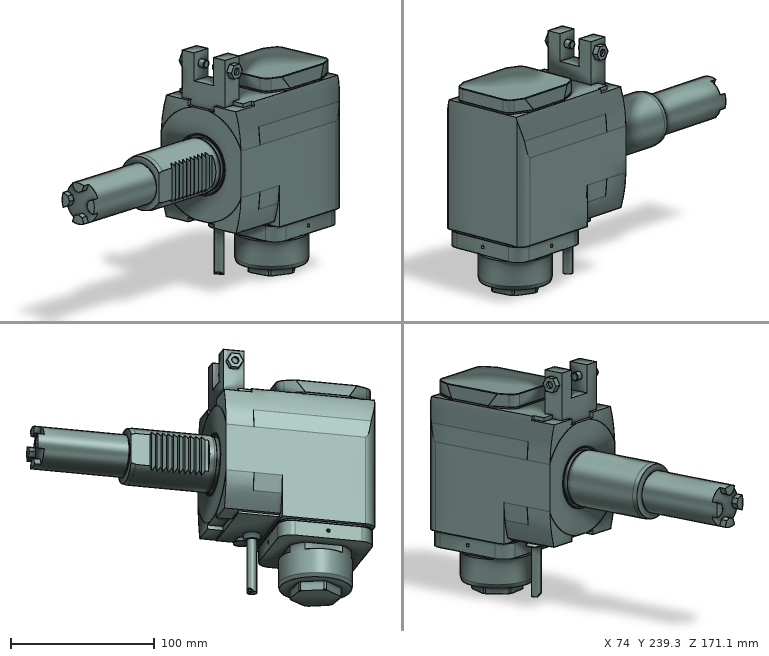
import cadquery as cq
import math


total_length = 239.28
total_height = 171.05

half_width = 37.02
back_y = 109.28
head_front_y = 40.9
tool_axis_y = (head_front_y + back_y) / 2
platform_top = 44.6
pad_top = 47.4
bracket_top = 79.0
front_bottom = -43.8
pad_bottom = -45.3
head_bottom = -47.3
pad_front_y = 11.3
pad_half_width = 29.3
side_zone_y = 20.3
side_flat_z = 17.0
side_mid_z = 30.0
side_radius = 92.0
side_center_z = 15.0
back_corner_radius = 9.2
back_corner_depth = 8.2
disc_radius = 41.2
disc_step = 0.2
key_half_width = 12.0
key_depth = 4.0
lower_key_depth = 3.0

shank_diameter = 40.0
shank_neck_diameter = 38.7
shank_neck_length = 1.7
shank_end_y = -63.0
shank_rear_chamfer_length = 1.7
shank_rear_chamfer_height = 0.3
shank_chamfer_length = 3.4
shank_chamfer_height = 0.6
seal_groove_diameter = 42.4
seal_groove_depth = 1.5
seal_rim_diameter = 44.4
seal_rim_depth = 0.5
rack_flat_x = 16.35
rack_start_y = -7.0
tooth_pitch = 4.0
tooth_depth = 2.3
tooth_count = 10
first_tooth_y = -11.45

spindle_diameter = 30.0
spindle_neck_diameter = 27.3
spindle_neck_length = 1.0
spindle_face_y = -125.2
spindle_end_y = back_y - total_length
claw_outline = [(15.0, 5.8), (13.9, 5.4), (9.6, 3.6), (8.0, 0.0), (9.6, -3.6), (13.9, -5.4), (15.0, -5.8)]
claw_count = 4

seam = 1.3
seam_inset = 0.6
cover_size = back_y - head_front_y
cap_top = 58.1
cap_half_width = 31.4
cap_top_half_width = 28.7
cap_front_half_width = 23.7
cap_side_half_length = 16.0
cap_corner_radius = 7.0
cap_edge_chamfer = 0.4
flange_bottom = -59.6
flange_corner_radius = 10.0
dowel_hole_diameter = 2.3
dowel_hole_depth = 3.0
dowel_hole_z = -53.9

chuck_diameter = 52.0
chuck_flats = 44.4
chuck_flats_length = 5.0
chuck_bottom = -85.4
chuck_chamfer_length = 2.8
chuck_chamfer_height = 0.8
nut_diameter = 36.0
nut_flats = 32.0
nut_angle = 7.0
nut_bottom = bracket_top - total_height
nut_chamfer = 0.5

bracket_front_y = 2.9
bracket_thickness = 15.0
bracket_half_width = 19.9
bracket_gap_half_width = 9.0
bracket_gap_bottom = 58.7
screw_z = 70.1
screw_diameter = 6.0
screw_head_flats = 10.0
screw_head_height = 4.4
screw_recess_diameter = 5.0
screw_recess_depth = 2.0
screw_tip_x = 3.9
screw_tip_chamfer = 0.5

tube_diameter = 7.0
tube_x = -11.2
tube_y = 32.1
tube_bottom = -88.4
tube_tip_cut = 2.5
outlet_diameter = 2.3
outlet_depth = 4.0
outlet_heading = 30.0
ball_diameter = 12.73
ball_bottom = -49.2
clamp_x = -20.2
clamp_y = 27.2
clamp_diameter = 11.57
clamp_top_diameter = 6.0
clamp_rim_height = 0.4


def box(x0, x1, y0, y1, z0, z1):
    return cq.Workplane("XY").box(x1 - x0, y1 - y0, z1 - z0, centered=False).translate((x0, y0, z0))


def cylinder_y(diameter, y0, y1):
    """Cylinder on the drive axis from y0 forward to y1, with y1 < y0."""
    return cq.Workplane("XZ", origin=(0, y0, 0)).circle(diameter / 2).extrude(y0 - y1)


def cylinder_z(diameter, x, y, z0, z1):
    return cq.Workplane("XY", origin=(x, y, z0)).circle(diameter / 2).extrude(z1 - z0)


def side_x(z):
    """Half width of the rounded upper side, or of its mirror image below, at height z."""
    center_x = half_width - math.sqrt(side_radius**2 - (side_flat_z - side_center_z) ** 2)
    return center_x + math.sqrt(side_radius**2 - (abs(z) - side_center_z) ** 2)


def side_arc(outline, z_from, z_to, side):
    """Add the rounded side from z_from to z_to; side is +1 for +X and -1 for -X."""
    z_half = (z_from + z_to) / 2
    return outline.threePointArc((side * side_x(z_half), z_half), (side * side_x(z_to), z_to))


def side_to_flat(outline, top, side, faceted):
    """Add the side from the far edge at height top back to the flat, with or without the flat facet."""
    if faceted:
        outline = side_arc(outline, top, math.copysign(side_mid_z, top), side)
        return outline.lineTo(side * half_width, math.copysign(side_flat_z, top))
    return side_arc(outline, top, math.copysign(side_flat_z, top), side)


def side_from_flat(outline, top, side, faceted):
    """Add the side from the flat to the far edge at height top, with or without the flat facet."""
    start = side_flat_z
    if faceted:
        start = side_mid_z
        outline = outline.lineTo(side * side_x(start), math.copysign(start, top))
    return side_arc(outline, math.copysign(start, top), top, side)


def front_section(y_front, y_back, top, faceted):
    """Slice of the front section, rounded at the upper and the lower sides."""
    outline = cq.Workplane("XZ", origin=(0, y_back, 0)).moveTo(half_width, side_flat_z)
    outline = side_from_flat(outline, top, 1, faceted).lineTo(-side_x(top), top)
    outline = side_to_flat(outline, top, -1, faceted).lineTo(-half_width, -side_flat_z)
    outline = side_from_flat(outline, front_bottom, -1, faceted).lineTo(side_x(front_bottom), front_bottom)
    outline = side_to_flat(outline, front_bottom, 1, faceted)
    return outline.close().extrude(y_back - y_front)


def head():
    """Deep rear block: the rounded upper sides, straight lower sides and rounded back corners."""
    outline = cq.Workplane("XZ", origin=(0, back_y, 0)).moveTo(half_width, side_flat_z)
    outline = side_from_flat(outline, pad_top, 1, True).lineTo(-side_x(pad_top), pad_top)
    outline = side_to_flat(outline, pad_top, -1, True)
    outline = outline.lineTo(-half_width, head_bottom).lineTo(half_width, head_bottom)
    block = outline.close().extrude(back_y - head_front_y)

    def corner_x(depth):
        return half_width - back_corner_radius + math.sqrt(back_corner_radius**2 - depth**2)

    start_y = back_y - back_corner_depth
    mid_y = back_y - back_corner_depth / 2
    mid_x = corner_x(back_corner_depth / 2)
    end_x = corner_x(back_corner_depth)
    plan = (
        cq.Workplane("XY", origin=(0, 0, head_bottom))
        .moveTo(-half_width, head_front_y)
        .lineTo(half_width, head_front_y)
        .lineTo(half_width, start_y)
        .threePointArc((mid_x, mid_y), (end_x, back_y))
        .lineTo(-end_x, back_y)
        .threePointArc((-mid_x, mid_y), (-half_width, start_y))
        .close()
        .extrude(pad_top - head_bottom)
    )
    return block.intersect(plan)


def shank():
    """Round shank with a flat and a toothed rack on its +X side."""
    radius = shank_diameter / 2
    neck_radius = shank_neck_diameter / 2
    body = (
        cq.Workplane("XY")
        .moveTo(0, seal_groove_depth)
        .lineTo(neck_radius, seal_groove_depth)
        .lineTo(neck_radius, -shank_neck_length)
        .lineTo(radius - shank_rear_chamfer_height, -shank_neck_length)
        .lineTo(radius, -shank_neck_length - shank_rear_chamfer_length)
        .lineTo(radius, shank_end_y + shank_chamfer_length)
        .lineTo(radius - shank_chamfer_height, shank_end_y)
        .lineTo(0, shank_end_y)
        .close()
        .revolve(360, (0, 0, 0), (0, 1, 0))
    )
    rack = box(rack_flat_x, radius, shank_end_y, rack_start_y, -radius, radius)
    body = body.cut(rack)
    for index in range(tooth_count):
        y = first_tooth_y - index * tooth_pitch
        groove = (
            cq.Workplane("XY", origin=(0, 0, -radius))
            .moveTo(rack_flat_x, y + tooth_pitch / 2)
            .lineTo(rack_flat_x - tooth_depth, y)
            .lineTo(rack_flat_x, y - tooth_pitch / 2)
            .close()
            .extrude(shank_diameter)
        )
        body = body.cut(groove)
    return body


def make_housing():
    """Housing of the angular head with the shank in one piece."""
    body = front_section(0, side_zone_y, platform_top, faceted=False)
    body = body.union(front_section(side_zone_y, head_front_y, pad_top, faceted=True))
    body = body.union(head())
    body = body.union(
        box(-pad_half_width, pad_half_width, pad_front_y, side_zone_y, platform_top, pad_top)
    )
    body = body.union(
        box(-pad_half_width, pad_half_width, pad_front_y, head_front_y, pad_bottom, front_bottom)
    )
    corner_zone = box(-half_width, half_width, 0, disc_step, front_bottom, platform_top)
    body = body.cut(corner_zone.cut(cylinder_y(2 * disc_radius, disc_step, 0)))
    bracket_back_y = bracket_front_y + bracket_thickness
    body = body.cut(
        box(-key_half_width, key_half_width, 0, bracket_back_y, platform_top - key_depth, pad_top)
    )
    body = body.cut(
        box(-key_half_width, key_half_width, 0, pad_front_y, pad_bottom, front_bottom + lower_key_depth)
    )
    body = body.cut(
        box(-bracket_half_width, bracket_half_width, 0, bracket_back_y, platform_top, pad_top)
    )
    body = body.cut(cylinder_y(seal_groove_diameter, seal_groove_depth, 0))
    body = body.cut(cylinder_y(seal_rim_diameter, seal_rim_depth, 0))
    return body.union(shank())


def make_spindle():
    """Drive spindle ahead of the shank, with coupling claws on its end."""
    neck_end_y = shank_end_y - spindle_neck_length
    body = cylinder_y(spindle_neck_diameter, shank_end_y, neck_end_y)
    body = body.union(cylinder_y(spindle_diameter, neck_end_y, spindle_end_y))
    clearance = cylinder_y(2 * spindle_diameter, spindle_face_y, spindle_end_y)
    claw = (
        cq.Workplane("XZ", origin=(0, spindle_face_y, 0))
        .polyline(claw_outline)
        .close()
        .extrude(spindle_face_y - spindle_end_y)
    )
    for index in range(claw_count):
        clearance = clearance.cut(claw.rotate((0, 0, 0), (0, 1, 0), index * 360 / claw_count))
    return body.cut(clearance)


def make_cap():
    """Octagonal cover with rounded corners and two sides that lean inwards."""
    half_length = cover_size / 2
    cap_bottom = pad_top + seam
    corners = [
        (cap_front_half_width, -half_length),
        (cap_half_width, -cap_side_half_length),
        (cap_half_width, cap_side_half_length),
        (cap_front_half_width, half_length),
    ]
    corners += [(-x, -y) for x, y in corners]

    def prism(z0, z1):
        slab = cq.Workplane("XY", origin=(0, tool_axis_y, z0)).polyline(corners).close().extrude(z1 - z0)
        ends = slab.edges("|Z").edges("<Y or >Y")
        return ends.fillet(cap_corner_radius)

    sides = (
        cq.Workplane("XZ", origin=(0, back_y, 0))
        .polyline(
            [
                (cap_half_width, cap_bottom),
                (cap_top_half_width, cap_top),
                (-cap_top_half_width, cap_top),
                (-cap_half_width, cap_bottom),
            ]
        )
        .close()
        .extrude(cover_size)
    )
    body = prism(cap_bottom, cap_top).intersect(sides).faces(">Z").chamfer(cap_edge_chamfer)
    outline = body.faces("<Z").wires().val()
    inner_outline = outline.offset2D(-seam_inset)[0]
    seam_plate = cq.Workplane("XY").add(inner_outline).toPending().extrude(-seam)
    return body.union(seam_plate)


def make_flange():
    """Rounded square plate below the head, with a dowel hole in the middle of each side."""
    flange_top = head_bottom - seam
    body = (
        cq.Workplane("XY", origin=(0, tool_axis_y, flange_bottom))
        .rect(cover_size, cover_size)
        .extrude(flange_top - flange_bottom)
        .edges("|Z")
        .fillet(flange_corner_radius)
    )
    seam_size = cover_size - 2 * seam_inset
    seam_plate = (
        cq.Workplane("XY", origin=(0, tool_axis_y, flange_top))
        .rect(seam_size, seam_size)
        .extrude(seam)
        .edges("|Z")
        .fillet(flange_corner_radius - seam_inset)
    )
    body = body.union(seam_plate)
    hole = (
        cq.Workplane("XZ", origin=(0, head_front_y + dowel_hole_depth, dowel_hole_z))
        .circle(dowel_hole_diameter / 2)
        .extrude(dowel_hole_depth)
    )
    for quarter in range(4):
        body = body.cut(hole.rotate((0, tool_axis_y, 0), (0, tool_axis_y, 1), 90 * quarter))
    return body


def make_chuck():
    """Tool chuck: square wrench neck, round body and the hexagonal clamping end."""
    radius = chuck_diameter / 2
    body = (
        cq.Workplane("XZ", origin=(0, tool_axis_y, 0))
        .moveTo(0, flange_bottom)
        .lineTo(radius, flange_bottom)
        .lineTo(radius, chuck_bottom + chuck_chamfer_length)
        .lineTo(radius - chuck_chamfer_height, chuck_bottom)
        .lineTo(0, chuck_bottom)
        .close()
        .revolve(360, (0, 0, 0), (0, 1, 0))
    )
    neck = cq.Workplane("XY", origin=(0, tool_axis_y, flange_bottom - chuck_flats_length))
    ring = neck.rect(2 * chuck_diameter, 2 * chuck_diameter).rect(chuck_flats, chuck_flats)
    body = body.cut(ring.extrude(chuck_flats_length))

    corner_diameter = nut_flats / math.cos(math.pi / 6)
    hexagon = (
        cq.Workplane("XY", origin=(0, tool_axis_y, nut_bottom))
        .polygon(6, corner_diameter)
        .extrude(chuck_bottom - nut_bottom)
        .rotate((0, tool_axis_y, 0), (0, tool_axis_y, 1), nut_angle)
    )
    round_blank = cylinder_z(nut_diameter, 0, tool_axis_y, nut_bottom, chuck_bottom)
    round_blank = round_blank.faces("<Z").chamfer(nut_chamfer)
    return body.union(hexagon.intersect(round_blank))


def make_screw(side):
    """Hexagon screw through one bracket arm; side is +1 for the +X arm and -1 for the -X arm."""
    shaft = (
        cq.Workplane("YZ", origin=(screw_tip_x, 0, 0))
        .circle(screw_diameter / 2)
        .extrude(bracket_half_width - screw_tip_x)
        .faces("<X")
        .chamfer(screw_tip_chamfer)
    )
    head_part = (
        cq.Workplane("YZ", origin=(bracket_half_width, 0, 0))
        .polygon(6, screw_head_flats / math.cos(math.pi / 6))
        .extrude(screw_head_height)
        .faces(">X")
        .workplane()
        .hole(screw_recess_diameter, screw_recess_depth)
    )
    screw = shaft.union(head_part)
    if side < 0:
        screw = screw.mirror("YZ")
    return screw.translate((0, bracket_front_y + bracket_thickness / 2, screw_z))


def make_bracket():
    """Fork standing in the key slot, bored for the two screws."""
    back = bracket_front_y + bracket_thickness
    body = box(-bracket_half_width, bracket_half_width, bracket_front_y, back, platform_top, bracket_top)
    body = body.cut(
        box(-bracket_gap_half_width, bracket_gap_half_width, bracket_front_y, back,
            bracket_gap_bottom, bracket_top)
    )
    body = body.union(
        box(-key_half_width, key_half_width, bracket_front_y, back, platform_top - key_depth, platform_top)
    )
    bore = (
        cq.Workplane("YZ", origin=(-bracket_half_width, bracket_front_y + bracket_thickness / 2, screw_z))
        .circle(screw_diameter / 2)
        .extrude(2 * bracket_half_width)
    )
    return body.cut(bore)


def make_nozzle():
    """Coolant tube on its ball joint, with the conical clamp that holds the ball."""
    tube_radius = tube_diameter / 2
    ball = cq.Workplane("XY", origin=(tube_x, tube_y, pad_bottom)).sphere(ball_diameter / 2)
    ball = ball.intersect(cylinder_z(ball_diameter, tube_x, tube_y, ball_bottom, pad_bottom))
    tube = cylinder_z(tube_diameter, tube_x, tube_y, tube_bottom, pad_bottom)

    heading = math.radians(outlet_heading)
    forward = (math.sin(heading), -math.cos(heading))
    slope = (forward[0], forward[1], -1)
    reach = tube_radius - tube_tip_cut / 2
    tip = (tube_x + reach * forward[0], tube_y + reach * forward[1], tube_bottom + tube_tip_cut / 2)
    bevel = cq.Workplane(cq.Plane(origin=tip, xDir=(forward[1], -forward[0], 0), normal=slope))
    tube = tube.cut(bevel.rect(2 * tube_diameter, tube_diameter).extrude(tube_diameter))
    tube = tube.cut(bevel.circle(outlet_diameter / 2).extrude(-outlet_depth))

    clamp = (
        cq.Workplane("XZ", origin=(clamp_x, clamp_y, 0))
        .moveTo(0, pad_bottom)
        .lineTo(clamp_top_diameter / 2, pad_bottom)
        .lineTo(clamp_diameter / 2, ball_bottom + clamp_rim_height)
        .lineTo(clamp_diameter / 2, ball_bottom)
        .lineTo(0, ball_bottom)
        .close()
        .revolve(360, (0, 0, 0), (0, 1, 0))
    )
    return ball.union(tube).union(clamp)


housing = make_housing()
spindle = make_spindle()
cap = make_cap()
flange = make_flange()
chuck = make_chuck()
bracket = make_bracket()
screws = [make_screw(side) for side in (-1, 1)]
nozzle = make_nozzle()

result = cq.Compound.makeCompound(
    [
        housing.val(),
        spindle.val(),
        cap.val(),
        flange.val(),
        chuck.val(),
        bracket.val(),
        *[screw.val() for screw in screws],
        nozzle.val(),
    ]
)